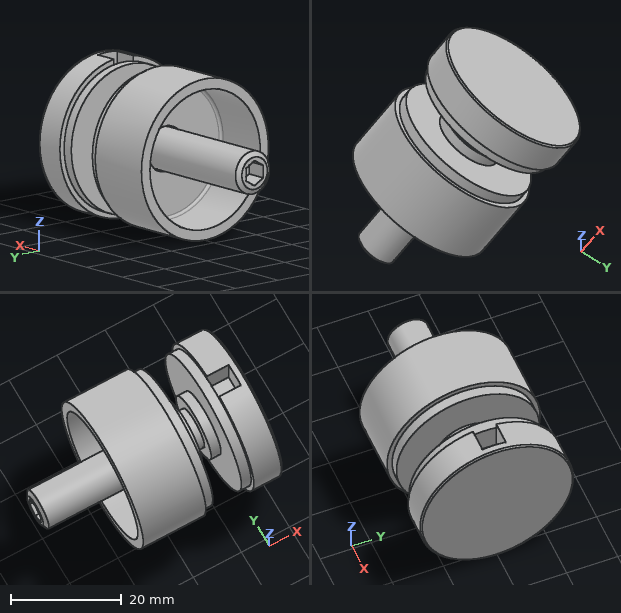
import cadquery as cq

total_length = 43.0
body_diameter = 30.0

rod_diameter = 8.0
rod_tip_diameter = 6.0
rod_tip_length = 0.6
socket_across_flats = 4.05
socket_depth = 4.0
rod_in_head = 3.0

cup_start = 13.98
cup_length = 13.05
cup_bore_diameter = 26.0
cup_floor = 2.0
cup_floor_fillet = 0.5
cup_hole_diameter = 8.5

gasket_diameter = 28.0
gasket_flange = 2.0
collar_diameter = 13.0
collar_length = 2.0

head_thickness = 6.0
head_edge_chamfer = 0.3
slot_width = 4.55
slot_length = 4.5
slot_depth = 6.0

cup_end = cup_start + cup_length
head_start = total_length - head_thickness
rod_end = head_start + rod_in_head


def disc(start, length, diameter):
    """Solid cylinder along +X from the given station."""
    return cq.Workplane("YZ", origin=(start, 0, 0)).circle(diameter / 2).extrude(length)


def make_rod():
    """Rod with a conical tip and a hexagon socket whose corners point along Z."""
    rod_profile = [
        (0, 0),
        (0, rod_tip_diameter / 2),
        (rod_tip_length, rod_diameter / 2),
        (rod_end, rod_diameter / 2),
        (rod_end, 0),
    ]
    rod = cq.Workplane("XY").polyline(rod_profile).close().revolve(360, (0, 0, 0), (1, 0, 0))
    socket = (
        cq.Workplane("YZ")
        .polygon(6, socket_across_flats, circumscribed=True)
        .extrude(socket_depth)
    )
    return rod.cut(socket)


def make_cup():
    """Cup open toward the rod tip, with a clearance hole in its floor."""
    cavity = disc(cup_start, cup_length - cup_floor, cup_bore_diameter)
    cavity = cavity.faces(">X").edges().fillet(cup_floor_fillet)
    rod_hole = disc(cup_start, cup_length, cup_hole_diameter)
    return disc(cup_start, cup_length, body_diameter).cut(cavity).cut(rod_hole)


def make_gasket(seat, direction):
    """Flange on the seat station, with a collar reaching along direction (+1 or -1 in X)."""
    flange = disc(seat, direction * gasket_flange, gasket_diameter)
    collar = disc(seat + direction * gasket_flange, direction * collar_length, collar_diameter)
    rod_hole = disc(seat, direction * (gasket_flange + collar_length), rod_diameter)
    return flange.union(collar).cut(rod_hole)


def make_head():
    """Disc with a chamfered outer rim, a blind rod hole and a slot in the top of its rim."""
    head = disc(head_start, head_thickness, body_diameter)
    head = head.faces(">X").edges().chamfer(head_edge_chamfer)
    rod_hole = disc(head_start, rod_in_head, rod_diameter)
    slot = cq.Workplane("XY").box(
        slot_length, slot_width, slot_depth, centered=(False, True, False)
    ).translate((head_start, 0, body_diameter / 2 - slot_depth))
    return head.cut(rod_hole).cut(slot)


rod = make_rod()
cup = make_cup()
gaskets = [make_gasket(seat, direction) for seat, direction in ((cup_end, 1), (head_start, -1))]
head = make_head()

result = cq.Compound.makeCompound(
    [rod.val(), cup.val(), *[gasket.val() for gasket in gaskets], head.val()]
)